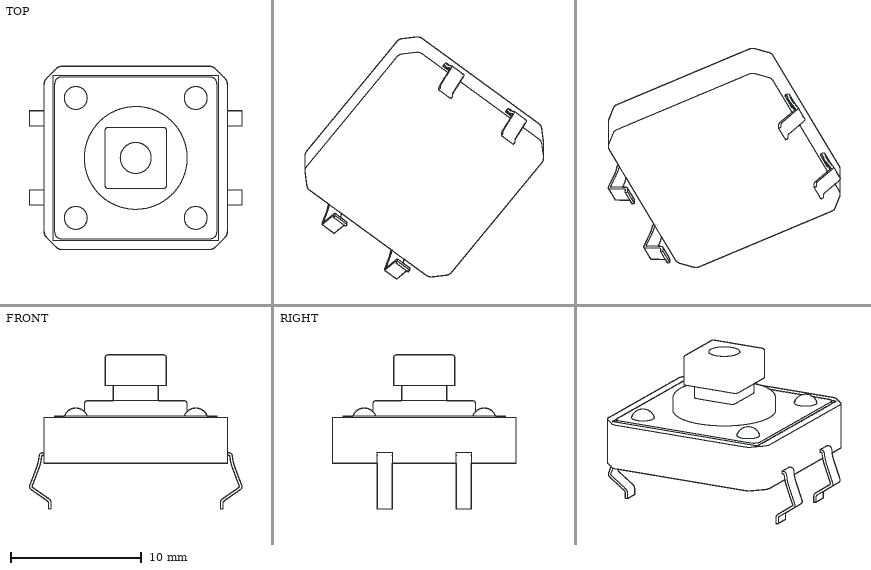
import cadquery as cq


body_side = 14.02
body_height = 3.5
corner_chamfer = 1.12
corner_blend = 0.62

plate_side = 12.37
plate_corner_radius = 0.52
plate_gap = 0.11
plate_rise = 0.1
recess_depth = 0.13
plate_top = body_height + plate_rise

rivet_offset = 4.58
rivet_radius = 0.88
rivet_height = 0.63

edge_round = 0.23
collar_radius = 3.93
collar_top = 4.79
neck_side = 3.46
cap_side = 4.68
cap_bottom = 5.95
cap_top = 8.3
hole_radius = 1.19
hole_depth = 1.17

overall_length = 16.24
terminal_width = 1.17
terminal_thickness = 0.21
terminal_spacing = 6.04
terminal_embed = 0.16
terminal_root_z = 0.71
shank_top_x = 7.26
knee_x = 7.35
knee_z = 0
elbow_inset = 0.071
elbow_x = overall_length / 2 - elbow_inset
elbow_z = -1.84
foot_x = 6.56
foot_z = -2.87
tip_z = -3.49
tight_bend = 0.16
knee_bend = 2.76
foot_bend = 0.28
tip_round = 0.1
match_tolerance = 0.002


def square_prism(side, bottom, top):
    """Square block centred on the Z axis between two heights."""
    return cq.Workplane("XY").workplane(offset=bottom).rect(side, side).extrude(top - bottom)


def make_housing():
    housing = square_prism(body_side, 0, body_height).edges("|Z").chamfer(corner_chamfer)
    housing = housing.edges("|Z").fillet(corner_blend)
    recess_floor = body_height - recess_depth
    recess = square_prism(plate_side + 2 * plate_gap, recess_floor, body_height)
    plate = square_prism(plate_side, recess_floor, plate_top).edges("|Z").fillet(plate_corner_radius)
    return housing.cut(recess).union(plate)


def make_rivet(x, y):
    """Low spherical cap standing on the cover plate."""
    ball_radius = (rivet_radius**2 + rivet_height**2) / (2 * rivet_height)
    ball_center = plate_top + rivet_height - ball_radius
    ball = cq.Workplane("XY").sphere(ball_radius).translate((x, y, ball_center))
    keep = square_prism(2 * ball_radius, plate_top, plate_top + rivet_height).translate((x, y, 0))
    return ball.intersect(keep)


def make_button():
    collar = cq.Workplane("XY").workplane(offset=plate_top).circle(collar_radius)
    collar = collar.extrude(collar_top - plate_top).faces(">Z").edges().fillet(edge_round)
    neck = square_prism(neck_side, collar_top, cap_bottom).edges("|Z").fillet(edge_round)
    cap = square_prism(cap_side, cap_bottom, cap_top).edges("|Z or >Z").fillet(edge_round)
    cap = cap.faces(">Z").workplane(origin=(0, 0, cap_top)).hole(2 * hole_radius, hole_depth)
    return collar.union(neck).union(cap)


def make_terminal():
    """Spring terminal on the +X side, swept along its centreline at Y = 0."""
    root_x = body_side / 2 - terminal_embed
    bends = [
        (shank_top_x, terminal_root_z, tight_bend),
        (knee_x, knee_z, knee_bend),
        (elbow_x, elbow_z, tight_bend),
        (foot_x, foot_z, foot_bend),
    ]
    points = [cq.Vector(root_x, 0, terminal_root_z)]
    points += [cq.Vector(x, 0, z) for x, z, radius in bends]
    points.append(cq.Vector(foot_x, 0, tip_z))
    centreline = cq.Wire.makePolygon(points)
    for x, z, radius in bends:
        bend_point = cq.Vector(x, 0, z)
        corner = [v for v in centreline.Vertices() if (v.Center() - bend_point).Length < match_tolerance]
        centreline = centreline.fillet(radius, corner)
    section = cq.Workplane("YZ", origin=(root_x, 0, terminal_root_z)).rect(terminal_width, terminal_thickness)
    strip = section.sweep(cq.Workplane(obj=centreline))
    tip_outer_edge = strip.faces("<Z").edges("|Y").edges(">X")
    return tip_outer_edge.fillet(tip_round)


result = make_housing().union(make_button())

for x in (-rivet_offset, rivet_offset):
    for y in (-rivet_offset, rivet_offset):
        result = result.union(make_rivet(x, y))

terminal = make_terminal()
for y in (-terminal_spacing / 2, terminal_spacing / 2):
    placed = terminal.translate((0, y, 0))
    result = result.union(placed).union(placed.mirror("YZ"))